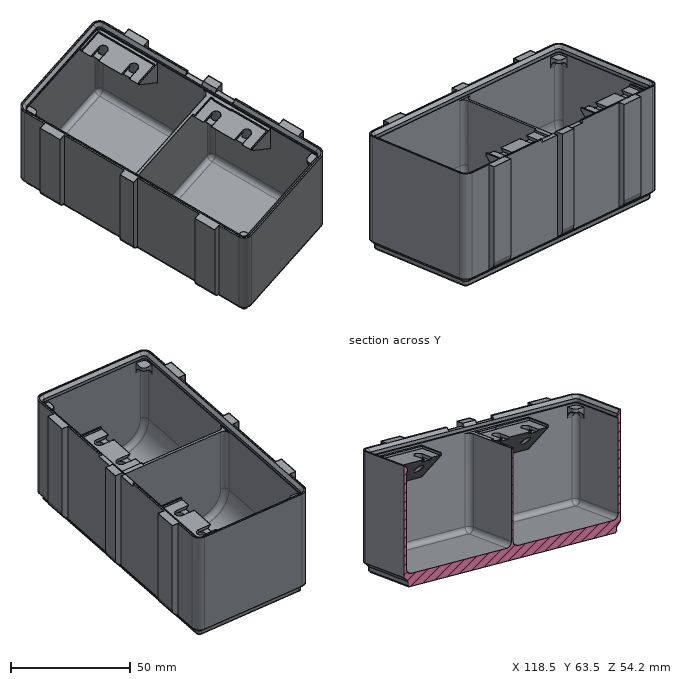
import cadquery as cq
length = 118.5
overall_depth = 63.5
width = 57.6
height = 54.2
corner_radius = 3.8

foot_inset = 2.1
foot_chamfer_height = 0.8
foot_chamfer_inset = 0.8
foot_step_top = 2.6
body_bottom = foot_step_top + foot_inset

wall = 1.5
divider = 1.2
floor_top = 5.9
shelf_top = 49.7
floor_fillet = 2.5
scoop_radius = 13.2

land = 0.7
lip_overhang = 0.6
lip_inset = wall + lip_overhang
lip_taper = lip_inset - land
lip_band_height = 1.5
lip_taper_bottom = height - lip_taper
lip_band_bottom = lip_taper_bottom - lip_band_height
lip_undercut_bottom = lip_band_bottom - lip_overhang
notch_length = 24.6

rib_depth = (overall_depth - width) / 2
outer_rib_width = 10.3
outer_rib_x = 40.0
center_rib_width = 7.0
center_rib_x = -0.4
rib_bottom = 5.0
rib_end_radius = 3.9

shelf_centers = (-42.2, 16.2)
pocket_length = 29.3
pocket_depth = 1.01
pocket_back_y = 26.0
pocket_front_y = 14.1
shelf_front_top_y = 14.3
shelf_rim = 0.6
slot_width = 4.0
slot_spacing = 15.9
slot_depth = 1.4
slot_end_y = 20.3
step_start_x = center_rib_x + center_rib_width / 2
step_depth = 0.4

pad_size = 4.9
pad_radius = 1.9
pad_edge_height = 1.7
pad_cove_radius = 3.2

inner_x = length / 2 - wall
inner_y = width / 2 - wall


def box(x0, x1, y0, y1, z0, z1):
    """Box between opposite limits along each axis."""
    return cq.Workplane("XY").box(x1 - x0, y1 - y0, z1 - z0, centered=False).translate((x0, y0, z0))


def slab(z0, inset0, z1, inset1):
    """Rounded slab following the outer body, inset differently at its bottom and top."""
    def outline(z, inset):
        profile = cq.Sketch().rect(length - 2 * inset, width - 2 * inset)
        return profile.vertices().fillet(corner_radius - inset).moved(cq.Location(cq.Vector(0, 0, z)))

    return cq.Workplane("XY").placeSketch(outline(z0, inset0), outline(z1, inset1)).loft(ruled=True)


def make_outside():
    foot_chamfer = slab(0, foot_inset + foot_chamfer_inset, foot_chamfer_height, foot_inset)
    foot_step = slab(foot_chamfer_height, foot_inset, foot_step_top, foot_inset)
    flare = slab(foot_step_top, foot_inset, body_bottom, 0)
    body = slab(body_bottom, 0, height, 0)
    return foot_chamfer.union(foot_step).union(flare).union(body)


def make_ribs(x, rib_width):
    """Pair of upright ribs, one on each long side, rounded off at the lower end."""
    outer_y = width / 2 + rib_depth
    block = box(x - rib_width / 2, x + rib_width / 2, -outer_y, outer_y, rib_bottom, height)
    return block.edges("|X and <Z").fillet(rib_end_radius)


def make_compartment(x0, x1):
    """Compartment volume with a large scoop along the front and rounded edges elsewhere."""
    space = box(x0, x1, -inner_y, inner_y, floor_top, shelf_top)
    space = space.edges("<Z and <Y").fillet(scoop_radius)
    return space.edges("not >Z").fillet(floor_fillet)


def make_lip_opening():
    straight = slab(shelf_top, wall, lip_undercut_bottom, wall)
    undercut = slab(lip_undercut_bottom, wall, lip_band_bottom, lip_inset)
    band = slab(lip_band_bottom, lip_inset, lip_taper_bottom, lip_inset)
    taper = slab(lip_taper_bottom, lip_inset, height, land)
    return straight.union(undercut).union(band).union(taper)


def make_lip_notch():
    """Gap in the back lip, interrupted where the center rib crosses it."""
    y0 = inner_y - lip_overhang
    gap = box(-notch_length / 2, notch_length / 2, y0, width / 2, lip_taper_bottom, height)
    kept = box(center_rib_x - center_rib_width / 2, center_rib_x + center_rib_width / 2,
               y0, width / 2, lip_taper_bottom, height)
    return gap.cut(kept)


def make_root_limit():
    """Volume ending halfway into the walls, so that rooted features stay inside the body."""
    return slab(body_bottom, wall / 2, height, wall / 2)


def make_shelf(center_x, wall_x):
    """Shelf with a 45 degree underside, running from the wall on its left to its right rim."""
    pocket_floor = shelf_top - pocket_depth
    back_y = inner_y + wall / 2
    end_x = center_x + pocket_length / 2 + shelf_rim
    shelf = (
        cq.Workplane("YZ", origin=(wall_x, 0, 0))
        .polyline([
            (back_y, shelf_top),
            (shelf_front_top_y, shelf_top),
            (pocket_front_y, pocket_floor),
            (back_y, pocket_floor - (back_y - pocket_front_y)),
        ])
        .close()
        .extrude(end_x - wall_x)
    )
    pocket = box(center_x - pocket_length / 2, center_x + pocket_length / 2,
                 0, pocket_back_y, pocket_floor, shelf_top)
    shelf = shelf.cut(pocket)
    for slot_x in (center_x - slot_spacing / 2, center_x + slot_spacing / 2):
        hole = cq.Workplane("XY").center(slot_x, slot_end_y).circle(slot_width / 2).extrude(shelf_top)
        slot = box(slot_x - slot_width / 2, slot_x + slot_width / 2,
                   0, slot_end_y, pocket_floor - slot_depth, shelf_top)
        shelf = shelf.cut(hole).cut(slot)
    return shelf.intersect(make_root_limit())


def make_pocket_step():
    """Shallow step on the back of the right label recess, in line with the lip notch."""
    return box(step_start_x, notch_length / 2, pocket_back_y - step_depth, inner_y,
               shelf_top - pocket_depth, shelf_top)


def make_pad(side_x, side_y):
    """Corner pad under the lip, blended into both walls below by a hollow rounding."""
    edge_x = inner_x - pad_size
    edge_y = inner_y - pad_size
    root = wall / 2
    edge_z = shelf_top - pad_edge_height
    pad_bottom = edge_z - pad_cove_radius
    pad = box(edge_x, inner_x + root, edge_y, inner_y + root, pad_bottom, shelf_top)
    pad = pad.edges("|Z and <X and <Y").fillet(pad_radius)
    hollow = box(0, inner_x, 0, inner_y, floor_top, edge_z)
    hollow = hollow.edges(">Z and (>X or >Y)").fillet(pad_cove_radius)
    pad = pad.cut(hollow)
    if side_x < 0:
        pad = pad.mirror("YZ")
    if side_y < 0:
        pad = pad.mirror("XZ")
    return pad.intersect(make_root_limit())


result = make_outside()
for rib_x, rib_width in (
    (-outer_rib_x, outer_rib_width),
    (center_rib_x, center_rib_width),
    (outer_rib_x, outer_rib_width),
):
    result = result.union(make_ribs(rib_x, rib_width))

result = result.cut(make_compartment(-inner_x, -divider / 2))
result = result.cut(make_compartment(divider / 2, inner_x))
result = result.cut(make_lip_opening()).cut(make_lip_notch())

for center_x, wall_x in zip(shelf_centers, (-inner_x - wall / 2, 0)):
    result = result.union(make_shelf(center_x, wall_x))
result = result.union(make_pocket_step())

for side_x, side_y in ((-1, -1), (1, -1), (1, 1)):
    result = result.union(make_pad(side_x, side_y))